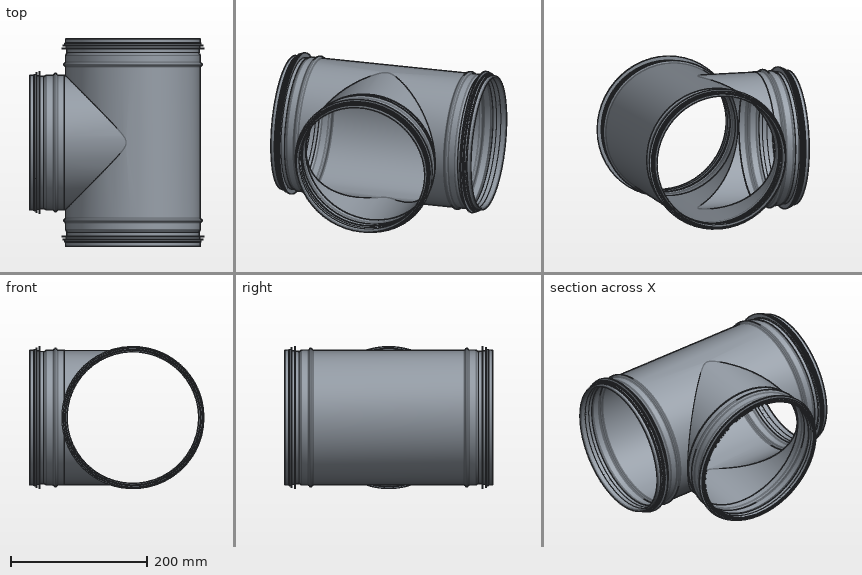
import cadquery as cq
import math


pipe_length = 306.0
branch_reach = 152.0
collar_length = 51.5
saddle_overlap = 0.5

sheet = 0.5
pipe_radius = 199.0 / 2
neck_radius = 194.0 / 2

step_depth = 20.8
step_angle = math.radians(35)
bead_depth = 38.2
bead_radius = 204.5 / 2
bead_angle = math.radians(45)
bend_radius = 1.2
flare_start = 5.8
flare_end = 7.3
flare_rise = 1.0
clamp_depth = 10.5

seal_start_depth = 9.0
seal_body_radius = 197.0 / 2
seal_base_radius = 195.2 / 2
lip_radius = 205.5 / 2
lip_tip_depth = 9.5
lip_thickness = 0.5
fin_radius = 209.3 / 2
fin_thickness = 1.5
fin_end_depth = 15.5

pipe_bore = pipe_radius - sheet
saddle_radius = pipe_bore
saddle_bore = saddle_radius - sheet
neck_bore = neck_radius - sheet
neck_middle = neck_radius - sheet / 2
pipe_middle = pipe_radius - sheet / 2
bead_middle = bead_radius - sheet / 2
clamp_radius = pipe_radius + flare_rise
clamp_bore = clamp_radius - sheet
fold_radius = (pipe_radius - neck_bore) / 2
fold_inner_radius = fold_radius - sheet
fold_centre = neck_bore + fold_radius



def rise_length(low, high, angle):
    """Length along the pipe of a rise made of two bends and a straight slope."""
    straight_rise = high - low - 2 * bend_radius * (1 - math.cos(angle))
    return 2 * bend_radius * math.sin(angle) + straight_rise / math.tan(angle)


def lower_bend(low, depth, angle, offset):
    """Start and end of a bend that turns outwards from straight along the pipe."""
    start = (low + offset, depth)
    end = (
        low + bend_radius * (1 - math.cos(angle)) + offset * math.cos(angle),
        depth + (bend_radius - offset) * math.sin(angle),
    )
    return [start, end]


def rise_points(low, high, depth, angle, offset):
    """Lower bend and upper bend of a rise from radius `low` to `high` that starts at `depth`."""
    lower = lower_bend(low, depth, angle, offset)
    turned = lower_bend(low, depth, angle, -offset)
    end_depth = depth + rise_length(low, high, angle)
    upper = [(low + high - r, depth + end_depth - d) for r, d in reversed(turned)]
    return lower + upper


def step_points(offset):
    """The rise from the neck to the full pipe."""
    return rise_points(neck_middle, pipe_middle, step_depth, step_angle, offset)


def bead_points(offset):
    """A rise to the crown and its mirror image, with one arc across the crown."""
    foot_depth = bead_depth - rise_length(pipe_middle, bead_middle, bead_angle)
    rise = rise_points(pipe_middle, bead_middle, foot_depth, bead_angle, offset)
    rising = rise[:-1]
    falling = [(r, 2 * bead_depth - d) for r, d in reversed(rising)]
    return rising + falling


def trace_bends(outline, points):
    """Draw straight to each bend and round it; `points` holds a start and an end per bend."""
    for bend_start, bend_end in zip(points[::2], points[1::2]):
        outline = outline.lineTo(*bend_start).tangentArcPoint(bend_end, relative=False)
    return outline


def revolve_about_axis(outline):
    """Turn a closed (radius, depth) outline into a solid about Z, with depth along +Z."""
    return outline.close().revolve(360, (0, 0, 0), (0, 1, 0))



def spigot(length):
    """Pipe wall with bead, step and neck, its end folded back over the seal."""
    half_sheet = sheet / 2
    outline = cq.Workplane("XZ").moveTo(pipe_radius, length)
    outline = trace_bends(outline, bead_points(half_sheet)[::-1])
    outline = trace_bends(outline, step_points(half_sheet)[::-1])
    outline = (
        outline.lineTo(neck_radius, fold_radius)
        .threePointArc(
            (fold_centre, fold_radius - fold_inner_radius),
            (fold_centre + fold_inner_radius, fold_radius),
        )
        .lineTo(pipe_bore, flare_start)
        .lineTo(clamp_bore, flare_end)
        .lineTo(clamp_bore, clamp_depth)
        .lineTo(clamp_radius, clamp_depth)
        .lineTo(clamp_radius, flare_end)
        .lineTo(pipe_radius, flare_start)
        .lineTo(pipe_radius, fold_radius)
        .threePointArc((fold_centre, 0), (neck_bore, fold_radius))
    )
    outline = trace_bends(outline, step_points(-half_sheet))
    outline = trace_bends(outline, bead_points(-half_sheet))
    outline = outline.lineTo(pipe_bore, length)
    return revolve_about_axis(outline)


def seal():
    """Rubber ring on the neck, partly under the fold, with a hooked lip and a tall fin."""
    lip_root_depth = clamp_depth + lip_thickness
    outline = (
        cq.Workplane("XZ")
        .moveTo(neck_radius, seal_start_depth)
        .lineTo(seal_body_radius, seal_start_depth)
        .lineTo(seal_body_radius, clamp_depth)
        .lineTo(lip_radius - lip_thickness, clamp_depth)
        .lineTo(lip_radius - lip_thickness, lip_tip_depth)
        .lineTo(lip_radius, lip_tip_depth)
        .lineTo(lip_radius, lip_root_depth)
        .lineTo(seal_body_radius, lip_root_depth)
        .lineTo(seal_body_radius, fin_end_depth - fin_thickness)
        .lineTo(fin_radius, fin_end_depth - fin_thickness)
        .lineTo(fin_radius, fin_end_depth)
        .lineTo(seal_base_radius, fin_end_depth)
        .lineTo(seal_base_radius, step_depth)
        .lineTo(neck_radius, step_depth)
    )
    return revolve_about_axis(outline)



def at_front(body):
    return body.rotate((0, 0, 0), (1, 0, 0), -90).translate((0, -pipe_length / 2, 0))


def at_back(body):
    return body.rotate((0, 0, 0), (1, 0, 0), 90).translate((0, pipe_length / 2, 0))


def at_branch(body):
    return body.rotate((0, 0, 0), (0, 1, 0), 90).translate((-branch_reach, 0, 0))



def branch_cylinder(radius):
    """Solid cylinder from the pipe axis to the free edge of the saddle."""
    saddle_length = branch_reach - collar_length + saddle_overlap
    return cq.Workplane("YZ").circle(radius).extrude(-saddle_length)


def make_pipe():
    half = spigot(pipe_length / 2)
    pipe_wall = at_front(half).union(at_back(half)).clean()
    pipe_space = cq.Workplane("XZ").circle(pipe_bore).extrude(pipe_length / 2, both=True)
    saddle = branch_cylinder(saddle_radius).cut(pipe_space)
    return pipe_wall.union(saddle).cut(branch_cylinder(saddle_bore))


pipe = make_pipe()
collar = at_branch(spigot(collar_length))
seals = [place(seal()) for place in (at_front, at_back, at_branch)]

result = cq.Compound.makeCompound([pipe.val(), collar.val(), *[ring.val() for ring in seals]])